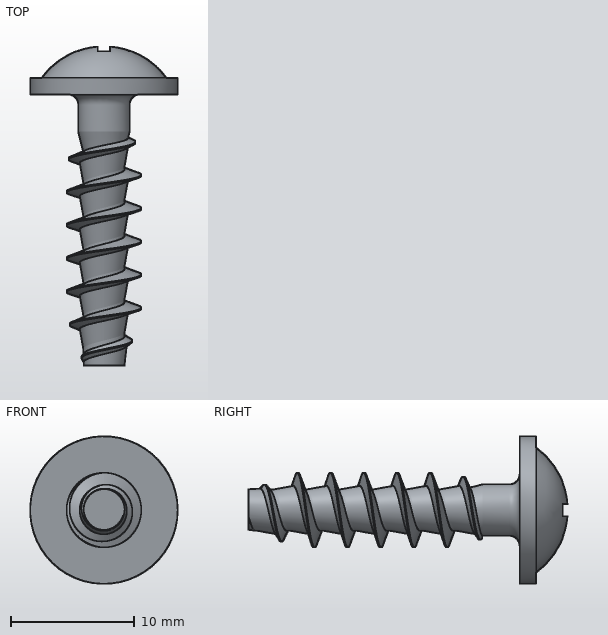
import cadquery as cq
import math


flange_diameter = 12.0
flange_radius = flange_diameter / 2
flange_thickness = 1.35
flange_edge_radius = 0.08
head_height = 3.94
dome_base_radius = 5.08
slot_width = 0.98
slot_depth = 0.41

shank_length = 22.0
shank_radius = 2.1
shank_fillet = 0.8
plain_shank_length = 3.0
neck_end = 4.65
core_radius = 1.68
tip_radius = 1.6
tip_taper_length = 0.52

pitch = 2.7
first_crest_distance = 3.19
first_turn = -0.25
last_turn = 7.1
steps_per_stretch = 12
buried_radius = 1.45

crest_radius = 3.03
crest_half_width = 0.05
tooth_base_half_width = 0.57
run_in_end_turn = 1.0
run_in_growth_per_turn = 0.635
run_out_start_turn = 5.5
run_out_drop_per_turn = 0.97

root_start_radius = 1.97
root_start_offset = 0.35
root_end_radius = 1.65
root_end_offset = 2.1
root_fade_start_turn = 6.0
root_fade_per_turn = 0.45


def screw_body():
    """Dome, flange, plain shank, neck and core as one turned shape."""
    dome_rise = head_height - flange_thickness
    dome_radius = (dome_base_radius**2 + dome_rise**2) / (2 * dome_rise)
    half_angle = math.asin(dome_base_radius / dome_radius) / 2
    dome_middle = (
        dome_radius * math.sin(half_angle),
        head_height - dome_radius * (1 - math.cos(half_angle)),
    )
    edge = flange_edge_radius
    outline = (
        cq.Workplane("XY")
        .moveTo(0, head_height)
        .threePointArc(dome_middle, (dome_base_radius, flange_thickness))
        .lineTo(flange_radius - edge, flange_thickness)
        .radiusArc((flange_radius, flange_thickness - edge), edge)
        .lineTo(flange_radius, edge)
        .radiusArc((flange_radius - edge, 0), edge)
        .lineTo(shank_radius + shank_fillet, 0)
        .radiusArc((shank_radius, -shank_fillet), -shank_fillet)
        .lineTo(shank_radius, -plain_shank_length)
        .lineTo(core_radius, -neck_end)
        .lineTo(core_radius, tip_taper_length - shank_length)
        .lineTo(tip_radius, -shank_length)
        .lineTo(0, -shank_length)
        .close()
    )
    return outline.revolve(360, (0, 0, 0), (0, 1, 0))


def cross_recess():
    """Two crossed slots, open at the dome surface."""
    slot_length = 2 * flange_radius
    slot_center = (0, head_height - slot_depth / 2, 0)
    along_x = cq.Workplane("XY").box(slot_length, slot_depth, slot_width)
    along_z = cq.Workplane("XY").box(slot_width, slot_depth, slot_length)
    return along_x.union(along_z).translate(slot_center)


def helix_point(turn, radius, offset):
    angle = 2 * math.pi * turn
    distance = first_crest_distance + pitch * turn + offset
    return cq.Vector(radius * math.sin(angle), -distance, -radius * math.cos(angle))


def tooth_crest_radius(turn):
    """Crest grows during the run-in, stays level, then sinks towards the tip."""
    run_in_missing = run_in_growth_per_turn * max(0, run_in_end_turn - turn)
    run_out_missing = run_out_drop_per_turn * max(0, turn - run_out_start_turn)
    return crest_radius - run_in_missing - run_out_missing


def root_upper_radius(turn):
    """Upper end of the sloping root, just below the tooth."""
    return root_start_radius - root_fade_per_turn * max(0, turn - root_fade_start_turn)


def rail(radius_at, offset, start, end):
    """Helical edge of the ridge between two turn counts."""
    turns = [start + (end - start) * i / steps_per_stretch for i in range(steps_per_stretch + 1)]
    points = [helix_point(turn, radius_at(turn), offset) for turn in turns]
    return cq.Edge.makeSpline(points, parameters=turns)


def helical_ridge(corners):
    """Helically swept solid; each corner is (radius as a function of turn, axial offset)."""
    half_turns = [i / 2 for i in range(math.ceil(2 * first_turn), math.floor(2 * last_turn) + 1)]
    stops = [first_turn] + half_turns + [last_turn]
    faces = []
    for start, end in zip(stops, stops[1:]):
        rails = [rail(radius_at, offset, start, end) for radius_at, offset in corners]
        for edge, next_edge in zip(rails, rails[1:] + rails[:1]):
            faces.append(cq.Face.makeRuledSurface(edge, next_edge))
    for turn in (first_turn, last_turn):
        cap = [helix_point(turn, radius_at(turn), offset) for radius_at, offset in corners]
        faces.append(cq.Face.makeFromWires(cq.Wire.makePolygon(cap, close=True)))
    return cq.Workplane(cq.Solid.makeSolid(cq.Shell.makeShell(faces)))


def constant(radius):
    return lambda turn: radius


def thread():
    """Tooth and sloping root, trimmed between the plain shank and the tip."""
    ridge = helical_ridge([
        (constant(buried_radius), -tooth_base_half_width),
        (tooth_crest_radius, -crest_half_width),
        (tooth_crest_radius, crest_half_width),
        (root_upper_radius, root_start_offset),
        (constant(root_end_radius), root_end_offset),
        (constant(buried_radius), root_end_offset),
    ])
    threaded_zone = (
        cq.Workplane("XZ", origin=(0, -plain_shank_length, 0))
        .circle(flange_radius)
        .extrude(shank_length - plain_shank_length)
    )
    return ridge.intersect(threaded_zone)


result = screw_body().cut(cross_recess()).union(thread())